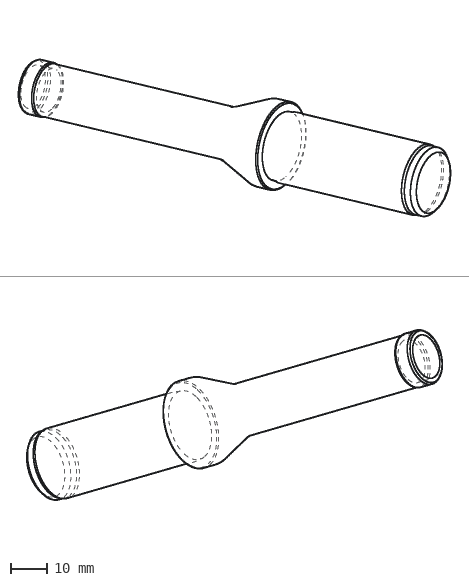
import cadquery as cq
import math

TOTAL_LENGTH = 132.0
HEAD_LENGTH = 5.4
CONE_START = 65.0
FLANGE_START = 77.0
FLANGE_END = 82.1
GRIP_START = 84.1
GRIP_END = 128.0

HEAD_DIAMETER = 15.5
SHANK_DIAMETER = 14.9
FLANGE_DIAMETER = 25.0
GRIP_DIAMETER = 20.0
NECK_DIAMETER = 19.5

NOSE_DIAMETER = 14.7
NOSE_LENGTH = 0.9
HEAD_BACK_BEVEL = 0.5
CONE_FOOT_RADIUS = 5.1
CONE_RIM_RADIUS = 3.3
FLANGE_CHAMFER = 0.4
GRIP_START_BEVEL = 1.0
GRIP_END_BEVEL = 0.8
END_CHAMFER = 1.2

SELECT_MARGIN = 0.01

BUTTON_DIAMETER = 12.3
RAISED_RING_DIAMETER = 7.8
DIMPLE_DIAMETER = 4.4
DIMPLE_FLOOR_DIAMETER = 0.5
FACE_SLOPE = math.radians(1.5)
RING_SLOPE = math.radians(6.5)

RING_FOOT = (RAISED_RING_DIAMETER - DIMPLE_DIAMETER) / 2 * math.tan(RING_SLOPE)
DIMPLE_FLOOR = (DIMPLE_DIAMETER - DIMPLE_FLOOR_DIAMETER) / 2 * math.tan(RING_SLOPE)


def revolve_about_x(profile):
    """Turn a closed (x, radius) profile around the X axis."""
    return profile.close().revolve(360, (0, 0, 0), (1, 0, 0))


def tip_face_x(diameter):
    """X of the shallow conical tip face at a diameter outside the raised ring."""
    return RING_FOOT + (diameter - RAISED_RING_DIAMETER) / 2 * math.tan(FACE_SLOPE)


def make_button():
    """Round button that fills the recess in the head."""
    return revolve_about_x(
        cq.Workplane("XY")
        .moveTo(DIMPLE_FLOOR, 0)
        .lineTo(DIMPLE_FLOOR, DIMPLE_FLOOR_DIAMETER / 2)
        .lineTo(0, DIMPLE_DIAMETER / 2)
        .lineTo(RING_FOOT, RAISED_RING_DIAMETER / 2)
        .lineTo(tip_face_x(BUTTON_DIAMETER), BUTTON_DIAMETER / 2)
        .lineTo(HEAD_LENGTH, BUTTON_DIAMETER / 2)
        .lineTo(HEAD_LENGTH, 0)
    )


def on_circle(x):
    """Pick edges whose circle lies in the plane at the given X."""
    return cq.selectors.BoxSelector(
        (x - SELECT_MARGIN, -FLANGE_DIAMETER, -FLANGE_DIAMETER),
        (x + SELECT_MARGIN, FLANGE_DIAMETER, FLANGE_DIAMETER),
    )


def make_holder():
    """Recessed head, shank, tapered flange and grip turned from one bar."""
    neck_radius = NECK_DIAMETER / 2
    grip_radius = GRIP_DIAMETER / 2
    holder = revolve_about_x(
        cq.Workplane("XY")
        .moveTo(HEAD_LENGTH, 0)
        .lineTo(HEAD_LENGTH, BUTTON_DIAMETER / 2)
        .lineTo(tip_face_x(BUTTON_DIAMETER), BUTTON_DIAMETER / 2)
        .lineTo(tip_face_x(NOSE_DIAMETER), NOSE_DIAMETER / 2)
        .lineTo(NOSE_LENGTH, HEAD_DIAMETER / 2)
        .lineTo(HEAD_LENGTH - HEAD_BACK_BEVEL, HEAD_DIAMETER / 2)
        .lineTo(HEAD_LENGTH, SHANK_DIAMETER / 2)
        .lineTo(CONE_START, SHANK_DIAMETER / 2)
        .lineTo(FLANGE_START, FLANGE_DIAMETER / 2)
        .lineTo(FLANGE_END, FLANGE_DIAMETER / 2)
        .lineTo(FLANGE_END, neck_radius)
        .lineTo(GRIP_START - GRIP_START_BEVEL, neck_radius)
        .lineTo(GRIP_START, grip_radius)
        .lineTo(GRIP_END, grip_radius)
        .lineTo(GRIP_END + GRIP_END_BEVEL, neck_radius)
        .lineTo(TOTAL_LENGTH, neck_radius)
        .lineTo(TOTAL_LENGTH, 0)
    )
    holder = holder.edges(on_circle(CONE_START)).fillet(CONE_FOOT_RADIUS)
    holder = holder.edges(on_circle(FLANGE_START)).fillet(CONE_RIM_RADIUS)
    holder = holder.faces(">X").edges().chamfer(END_CHAMFER)
    largest_rim = cq.selectors.RadiusNthSelector(-1)
    return holder.edges(on_circle(FLANGE_END)).edges(largest_rim).chamfer(FLANGE_CHAMFER)


button = make_button()
holder = make_holder()
result = cq.Compound.makeCompound([button.val(), holder.val()])